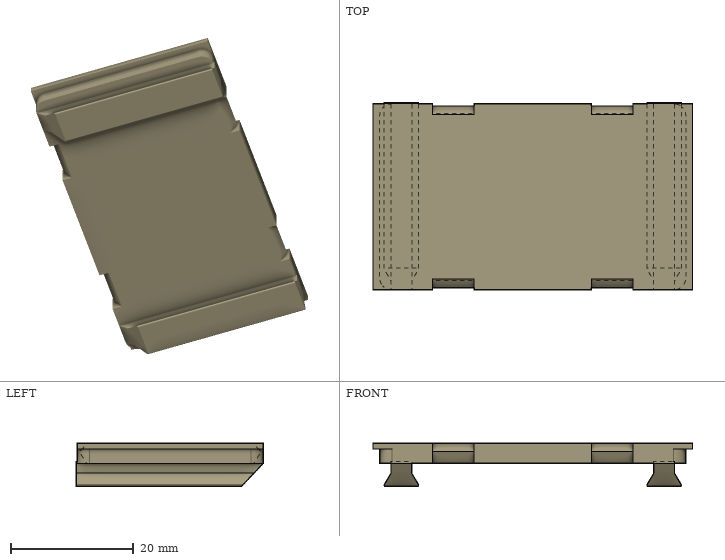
import cadquery as cq
import math

plate_length = 52.3
plate_width = 30.5
lip_thickness = 1.0
body_thickness = 3.3
lip_overhang = 1.1
body_corner_radius = 2.0

notch_length = 6.8
notch_offset = 13.0
notch_depth = 1.8
ridge_setback = 0.35
ridge_drop = 1.4
ridge_underside_angle = 57

rail_offset = 21.5
rail_height = 3.8
neck_width = 3.4
neck_height = 1.6
flare_angle = 60
foot_edge_radius = 0.2
rail_embed = 0.25
rail_overhang = 0.17
rail_bevel_run = 3.6

cut_margin = 1.0

body_bottom = -body_thickness
rail_bottom = body_bottom - rail_height
half_width = plate_width / 2
flare_height = rail_height - neck_height
foot_width = neck_width + 2 * flare_height / math.tan(math.radians(flare_angle))


def make_plate():
    """Thin rectangular lip over a shorter body with rounded corners."""
    lip = (
        cq.Workplane("XY")
        .rect(plate_length, plate_width)
        .extrude(-lip_thickness)
    )
    body = (
        cq.Workplane("XY")
        .rect(plate_length - 2 * lip_overhang, plate_width)
        .extrude(body_bottom)
        .edges("|Z")
        .fillet(body_corner_radius)
    )
    return lip.union(body)


def make_notch(center_x, side):
    """Cutter for one notch on the edge at side (-1 or +1) along Y."""
    outside = half_width + cut_margin
    crest = half_width - ridge_setback
    top_root = half_width - notch_depth
    underside_height = body_thickness - ridge_drop
    bottom_root = crest - underside_height / math.tan(math.radians(ridge_underside_angle))
    profile = [
        (side * outside, 0),
        (side * top_root, 0),
        (side * crest, -ridge_drop),
        (side * bottom_root, body_bottom),
        (side * outside, body_bottom),
    ]
    return (
        cq.Workplane("YZ", origin=(center_x, 0, 0))
        .polyline(profile)
        .close()
        .extrude(notch_length / 2, both=True)
    )


def make_rail(center_x):
    """Dovetail rail along Y with a bevelled -Y end."""
    half_neck = neck_width / 2
    half_foot = foot_width / 2
    right_side = [
        (half_neck, body_bottom + rail_embed),
        (half_neck, body_bottom - neck_height),
        (half_foot, rail_bottom),
    ]
    left_side = [(-x, z) for x, z in reversed(right_side)]
    rail = (
        cq.Workplane("XZ", origin=(center_x, half_width + rail_overhang, 0))
        .polyline(right_side + left_side)
        .close()
        .extrude(plate_width + rail_overhang)
        .faces("<Z")
        .edges("|Y")
        .fillet(foot_edge_radius)
    )
    bevel = (
        cq.Workplane("YZ", origin=(center_x, 0, 0))
        .moveTo(-half_width, body_bottom)
        .lineTo(-half_width + rail_bevel_run, rail_bottom)
        .lineTo(-half_width, rail_bottom)
        .close()
        .extrude(foot_width, both=True)
    )
    return rail.cut(bevel)


result = make_plate()
for x_side in (-1, 1):
    for y_side in (-1, 1):
        result = result.cut(make_notch(x_side * notch_offset, y_side))
    result = result.union(make_rail(x_side * rail_offset))